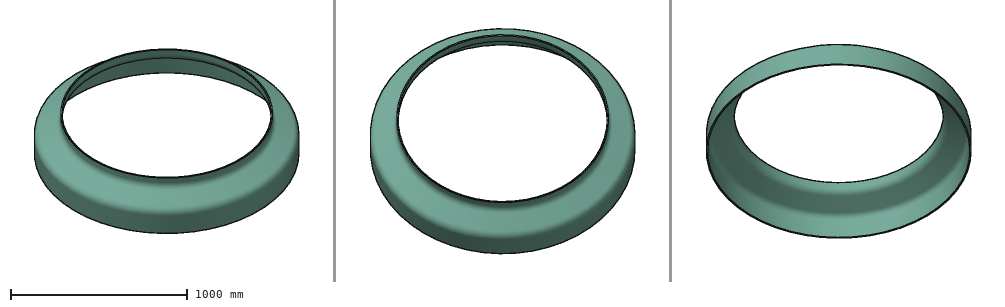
import cadquery as cq
import math

skirt_radius = 750.0
neck_radius = 600.0
wall = 8.2
height = 280.0
skirt_height = 126.0
slope = math.radians(23)
shoulder_bend = 45.0
neck_bend = 38.0

shoulder_center_r = skirt_radius - shoulder_bend
neck_center_r = neck_radius + neck_bend

center_run = shoulder_center_r - neck_center_r
bend_sum = shoulder_bend + neck_bend
neck_bend_z = skirt_height + (bend_sum + center_run * math.sin(slope)) / math.cos(slope)


def shoulder_point(radius, angle):
    """Point on the convex bend, with the angle measured up from horizontal."""
    return (
        shoulder_center_r + radius * math.cos(angle),
        skirt_height + radius * math.sin(angle),
    )


def neck_point(radius, angle):
    """Point on the concave bend, with the angle measured down from horizontal."""
    return (
        neck_center_r - radius * math.cos(angle),
        neck_bend_z - radius * math.sin(angle),
    )


tangent_angle = math.pi / 2 - slope
middle_angle = tangent_angle / 2

inner_shoulder = shoulder_bend - wall
inner_neck = neck_bend + wall

section = (
    cq.Workplane("XZ")
    .moveTo(skirt_radius, 0)
    .lineTo(skirt_radius, skirt_height)
    .threePointArc(
        shoulder_point(shoulder_bend, middle_angle),
        shoulder_point(shoulder_bend, tangent_angle),
    )
    .lineTo(*neck_point(neck_bend, tangent_angle))
    .threePointArc(neck_point(neck_bend, middle_angle), neck_point(neck_bend, 0))
    .lineTo(neck_radius, height)
    .lineTo(neck_radius - wall, height)
    .lineTo(*neck_point(inner_neck, 0))
    .threePointArc(
        neck_point(inner_neck, middle_angle),
        neck_point(inner_neck, tangent_angle),
    )
    .lineTo(*shoulder_point(inner_shoulder, tangent_angle))
    .threePointArc(
        shoulder_point(inner_shoulder, middle_angle),
        shoulder_point(inner_shoulder, 0),
    )
    .lineTo(skirt_radius - wall, 0)
    .close()
)

result = section.revolve(360, (0, 0, 0), (0, 1, 0))